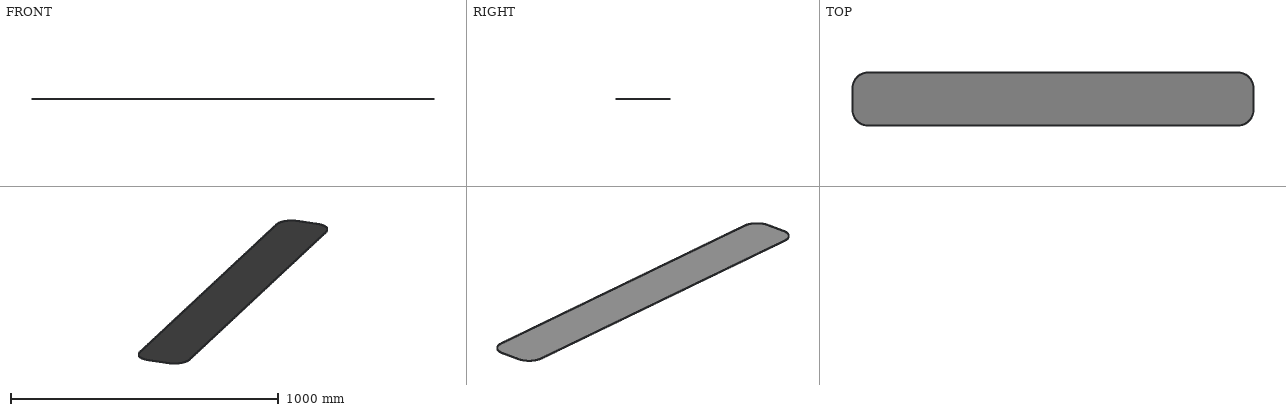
import cadquery as cq

length = 1500.0
width = 200.0
thickness = 2.0
corner_radius = 60.0

result = (
    cq.Workplane("XY")
    .rect(length, width)
    .extrude(thickness)
    .edges("|Z")
    .fillet(corner_radius)
)